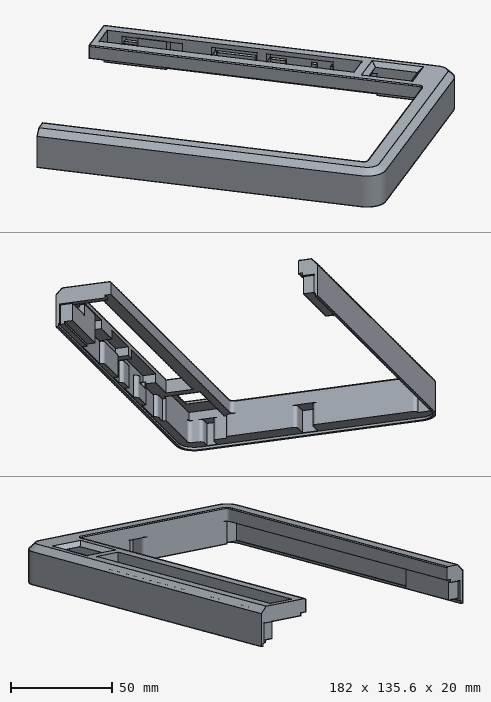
import cadquery as cq

length = 182.0
width = 135.6
height = 20.0
narrow_arm_start = 5.3
wide_arm_inner_y = 106.7
narrow_arm_inner_y = 10.2
crossbar_inner_x = 171.9
outer_radius = 9.6
inner_radius = 2.1
top_chamfer = 3.3
inner_chamfer = 0.5
flare_angle = 45

plate_underside = 13.1
wall = 1.8
rabbet_wall = 1.3
rabbet_height = 1.37

liner_thickness = 2.2
liner_face_y = width - wall - liner_thickness
corner_face_x = crossbar_inner_x + liner_thickness
window_liner_face_y = 129.6
liner_round = 2.0
liner_z = (rabbet_height, plate_underside)
pad_y = (9.1, 109.8)
liner_gaps = [(33.7, 57.7), (78.1, 85.4), (93.5, 106.5), (118.3, 134.5)]
pad_gap_y = (64.0, 72.1)
corner_gap_y = (117.0, 122.4)
liner_notch_x = (109.5, 116.9)
liner_notch_floor = 9.8

bar_length = 3.3
bar_underside = 11.7
bar_edge_gap = 3.1
narrow_bar_reach = 8.0
block_setback = 1.37
block_bottom = 2.5
block_top = 11.8
block_depth = 6.4
block_end = 33.7
tall_block_start = 19.0

slot_x = (3.3, 134.5)
slot_y = (113.0, 127.0)
window_x = (139.1, 165.5)
window_y = (110.9, 129.3)

pocket_roof = 17.7
slot_pockets = [(10.7, 41.9), (57.0, 80.5), (85.2, 119.6)]


def box(x_range, y_range, z_range):
    """Box spanning the given (low, high) ranges."""
    size = [high - low for low, high in (x_range, y_range, z_range)]
    corner = (x_range[0], y_range[0], z_range[0])
    return cq.Workplane("XY").box(*size, centered=False).translate(corner)


def inset_body(inset, bottom, top):
    """Outer rectangle with rounded +X corners, shrunk by inset on its three closed sides."""
    body = box((0, length - inset), (inset, width - inset), (bottom, top))
    return body.edges("|Z and >X").fillet(outer_radius - inset)


def make_shell():
    """Plate with the surrounding outer wall, still without the opening between the arms."""
    body = inset_body(0, 0, height).faces(">Z").edges("not <X").chamfer(top_chamfer)
    body = body.cut(inset_body(rabbet_wall, 0, rabbet_height))
    return body.cut(inset_body(wall, rabbet_height, plate_underside))


def flared_cut(x_range, y_range, depth, corner_radius=0):
    """Cutter in the top face whose sides slope inwards at 45 degrees down to the given depth."""
    outline = cq.Sketch().rect(x_range[1] - x_range[0], y_range[1] - y_range[0])
    if corner_radius:
        outline = outline.vertices(">X").fillet(corner_radius)
    cutter = cq.Workplane("XY").placeSketch(outline).extrude(-depth, taper=flare_angle)
    return cutter.translate((sum(x_range) / 2, sum(y_range) / 2, height))


def make_arm_opening():
    """Space between the arms, flared by a small chamfer around its top edge."""
    x_range = (-length, crossbar_inner_x)
    y_range = (narrow_arm_inner_y, wide_arm_inner_y)
    opening = box(x_range, y_range, (0, height)).edges("|Z and >X").fillet(inner_radius)
    flare = flared_cut(
        (-length, crossbar_inner_x + inner_chamfer),
        (narrow_arm_inner_y - inner_chamfer, wide_arm_inner_y + inner_chamfer),
        inner_chamfer,
        inner_radius + inner_chamfer,
    )
    return opening.union(flare)


def round_upright_edge(body, x, y):
    """Round the vertical edge of the liner closest to the given place."""
    nearest = cq.selectors.NearestToPointSelector((x, y, sum(liner_z) / 2))
    return body.edges("|Z").edges(nearest).fillet(liner_round)


def make_wide_arm_liner():
    """Liner along the wide arm, interrupted by gaps that are rounded at their +X end."""
    y_range = (liner_face_y, width - wall)
    liner = box((block_setback, length - wall), y_range, liner_z)
    for start, end in liner_gaps:
        liner = liner.cut(box((start, end), y_range, liner_z))
    for _, end in liner_gaps:
        liner = round_upright_edge(liner, end, liner_face_y)
    return liner.cut(box(liner_notch_x, y_range, (liner_notch_floor, plate_underside)))


def make_crossbar_liner():
    """Liner of the crossbar: a low step at both ends, a thicker pad between, and two gaps."""
    step = box((corner_face_x, length - wall), (wall, width - wall), liner_z)
    pad = box((crossbar_inner_x, length - wall), pad_y, liner_z)
    liner = step.union(pad.edges("|Z and <X").fillet(liner_round))
    for y_range, face_x in ((pad_gap_y, crossbar_inner_x), (corner_gap_y, corner_face_x)):
        liner = liner.cut(box((crossbar_inner_x, length - wall), y_range, liner_z))
        for y in y_range:
            liner = round_upright_edge(liner, face_x, y)
    return liner


def make_liner():
    """Both liners, thicker beside the window, with a rounded inside corner."""
    liner = make_wide_arm_liner().union(make_crossbar_liner())
    window_liner_x = (window_x[0] + height - pocket_roof, length - wall)
    liner = liner.union(box(window_liner_x, (window_liner_face_y, width - wall), liner_z))
    liner = round_upright_edge(liner, corner_face_x, window_liner_face_y)
    return liner.intersect(inset_body(wall, *liner_z))


def make_wide_arm_end():
    """End bar under the plate and the snap block standing on the wall of the wide arm."""
    bar = box(
        (0, bar_length),
        (wide_arm_inner_y + bar_edge_gap, width - wall),
        (bar_underside, plate_underside),
    )
    y_range = (width - wall - block_depth, width - wall)
    low_block = box((block_setback, block_end), y_range, (block_bottom, block_top))
    tall_block = box((tall_block_start, block_end), y_range, (block_bottom, pocket_roof))
    return bar.union(low_block).union(tall_block)


def make_narrow_arm_end():
    """End bar and block of the narrow arm."""
    bar_x = (narrow_arm_start, narrow_arm_start + bar_length)
    bar = box(bar_x, (wall, narrow_bar_reach), (bar_underside, plate_underside))
    block_x = (narrow_arm_start + block_setback, narrow_arm_start + block_end)
    block = box(block_x, (wall, narrow_bar_reach), (block_bottom, plate_underside))
    return bar.union(block)


def make_window():
    """Rectangular window with sloped sides through the thinned plate."""
    pocket_x = (window_x[0], corner_face_x)
    pocket_y = (window_y[0], window_liner_face_y)
    pocket = box(pocket_x, pocket_y, (plate_underside, pocket_roof))
    return pocket.union(flared_cut(window_x, window_y, height - pocket_roof))


def make_slot():
    """Long slot through the plate, with pockets beside it that thin the plate near the wall."""
    slot = box(slot_x, slot_y, (0, height))
    for x_range in slot_pockets:
        slot = slot.union(box(x_range, (slot_y[1], width - wall), (plate_underside, pocket_roof)))
    return slot


narrow_arm_gap = box((0, narrow_arm_start), (0, wide_arm_inner_y), (0, height))

result = make_shell().cut(make_arm_opening()).cut(narrow_arm_gap)
result = result.cut(make_slot()).cut(make_window())
result = result.union(make_liner())
result = result.union(make_wide_arm_end()).union(make_narrow_arm_end())